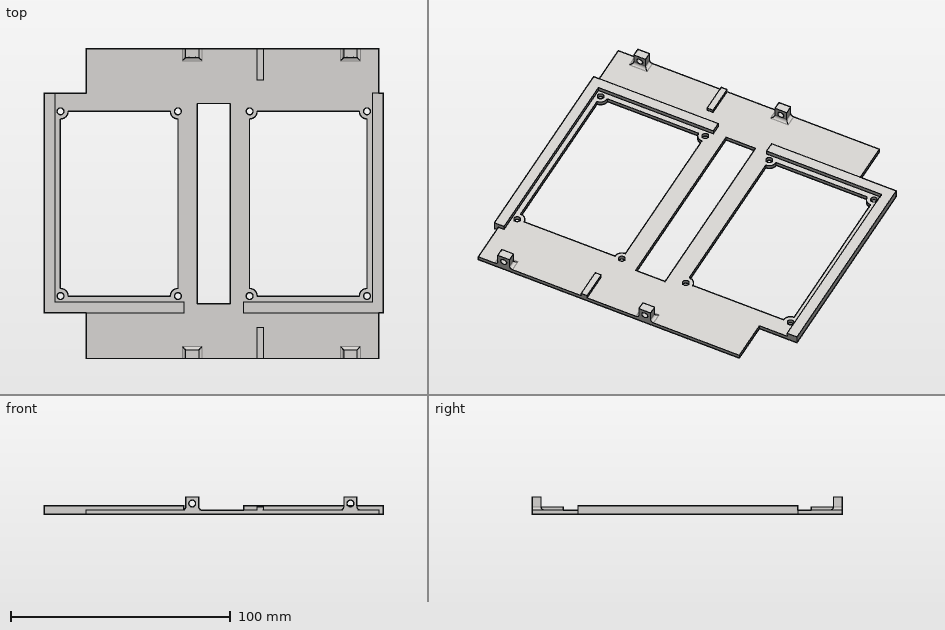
import cadquery as cq

TOTAL_WIDTH = 154.3
TOTAL_DEPTH = 141.0
PLATE_THICKNESS = 2.0
TRAY_FRONT = -49.7
TRAY_REAR = 50.3
PLATE_LEFT = -58.0
PLATE_RIGHT = 75.1

RAIL_WIDTH = 5.0
RAIL_TOP = 4.0
RAIL_GAP = 27.2

WINDOW_WIDTH = 53.4
WINDOW_DEPTH = 84.0
WINDOW_CENTER_X = 43.0
SCREW_DIAMETER = 3.0
SCREW_PAD_DIAMETER = 7.0

SLOT_WIDTH = 15.0
SLOT_DEPTH = 91.0

RIB_WIDTH = 3.0
RIB_LENGTH = 14.2
RIB_TOP = 3.5
RIB_CENTER_X = 21.1

LUG_WIDTH = 6.0
LUG_LENGTH = 4.0
LUG_TOP = 8.0
LUG_CENTERS_X = (-9.8, 62.15)
LUG_HOLE_DIAMETER = 3.0
LUG_HOLE_HEIGHT = 5.0
LUG_FILLET = 1.5

SELECTION_MARGIN = 0.1

HALF_WIDTH = TOTAL_WIDTH / 2
HALF_DEPTH = TOTAL_DEPTH / 2


def block(x_min, x_max, y_min, y_max, z_min, z_max):
    """Axis-aligned box given by its limits."""
    size = (x_max - x_min, y_max - y_min, z_max - z_min)
    return cq.Workplane("XY").box(*size, centered=False).translate((x_min, y_min, z_min))


def base_plate():
    tongues = block(PLATE_LEFT, PLATE_RIGHT, -HALF_DEPTH, HALF_DEPTH, 0, PLATE_THICKNESS)
    tray = block(-HALF_WIDTH, HALF_WIDTH, TRAY_FRONT, TRAY_REAR, 0, PLATE_THICKNESS)
    return tongues.union(tray)


def left_rail():
    inner_x = -HALF_WIDTH + RAIL_WIDTH
    inner_y = TRAY_FRONT + RAIL_WIDTH
    side = block(-HALF_WIDTH, inner_x, TRAY_FRONT, TRAY_REAR, 0, RAIL_TOP)
    front = block(-HALF_WIDTH, -RAIL_GAP / 2, TRAY_FRONT, inner_y, 0, RAIL_TOP)
    return side.union(front)


def window_cutter(center_x):
    """Rectangular window that leaves a round pad at each corner, with a screw hole in each pad."""
    window = cq.Workplane("XY").rect(WINDOW_WIDTH, WINDOW_DEPTH).extrude(PLATE_THICKNESS)
    corners = cq.Workplane("XY").rect(WINDOW_WIDTH, WINDOW_DEPTH, forConstruction=True).vertices()
    pads = corners.circle(SCREW_PAD_DIAMETER / 2).extrude(PLATE_THICKNESS)
    screws = corners.circle(SCREW_DIAMETER / 2).extrude(PLATE_THICKNESS)
    return window.cut(pads).union(screws).translate((center_x, 0, 0))


def slot_cutter():
    return cq.Workplane("XY").rect(SLOT_WIDTH, SLOT_DEPTH).extrude(PLATE_THICKNESS)


def rear_rib():
    return block(
        RIB_CENTER_X - RIB_WIDTH / 2,
        RIB_CENTER_X + RIB_WIDTH / 2,
        HALF_DEPTH - RIB_LENGTH,
        HALF_DEPTH,
        0,
        RIB_TOP,
    )


def rear_lug(center_x):
    """Upright lug flush with the rear edge."""
    half = LUG_WIDTH / 2
    return block(center_x - half, center_x + half, HALF_DEPTH - LUG_LENGTH, HALF_DEPTH, 0, LUG_TOP)


def lug_root(center_x, side):
    """Selector of the three edges where a lug meets the plate; side is 1 at the rear, -1 at the front."""
    x_reach = LUG_WIDTH / 2 + SELECTION_MARGIN
    inner_y = HALF_DEPTH - LUG_LENGTH - SELECTION_MARGIN
    outer_y = HALF_DEPTH - SELECTION_MARGIN
    return cq.selectors.BoxSelector(
        (center_x - x_reach, side * inner_y, PLATE_THICKNESS - SELECTION_MARGIN),
        (center_x + x_reach, side * outer_y, PLATE_THICKNESS + SELECTION_MARGIN),
    )


def lug_hole(center_x):
    """Hole along Y through the front and rear lugs at one X position."""
    return (
        cq.Workplane("XZ", origin=(center_x, HALF_DEPTH, LUG_HOLE_HEIGHT))
        .circle(LUG_HOLE_DIAMETER / 2)
        .extrude(TOTAL_DEPTH)
    )


body = base_plate()
for center_x in LUG_CENTERS_X:
    lug = rear_lug(center_x)
    body = body.union(lug).union(lug.mirror("XZ"))
    for side in (-1, 1):
        body = body.edges(lug_root(center_x, side)).fillet(LUG_FILLET)
    body = body.cut(lug_hole(center_x))

rail = left_rail()
body = body.union(rail).union(rail.mirror("YZ"))
rib = rear_rib()
body = body.union(rib).union(rib.mirror("XZ"))
for center_x in (-WINDOW_CENTER_X, WINDOW_CENTER_X):
    body = body.cut(window_cutter(center_x))
result = body.cut(slot_cutter())